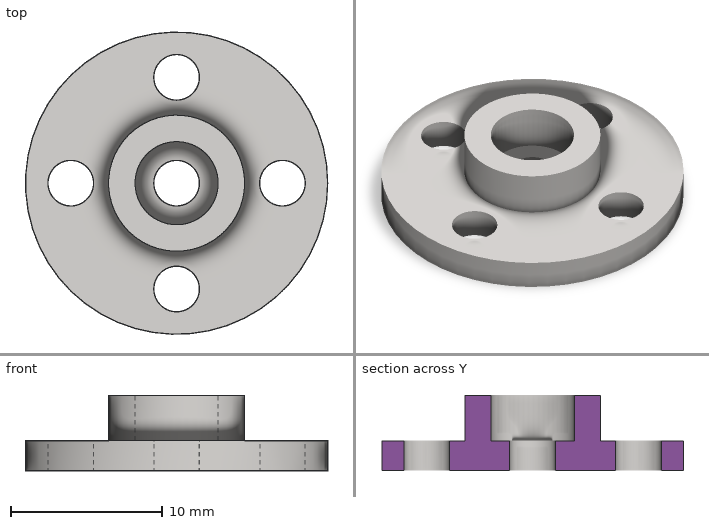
import cadquery as cq

flange_diameter = 20
flange_thickness = 2

hub_diameter = 9
hub_height = 3

pocket_diameter = 5.5
pocket_depth = hub_height
hole_diameter = 3

mounting_hole_count = 4
pitch_circle_diameter = 14

flange = cq.Workplane("XY").circle(flange_diameter / 2).extrude(flange_thickness)

flange_with_hub = (
    flange.faces(">Z").workplane()
    .circle(hub_diameter / 2)
    .extrude(hub_height)
)

bored_body = (
    flange_with_hub.faces(">Z").workplane()
    .cboreHole(hole_diameter, pocket_diameter, pocket_depth)
)

result = (
    bored_body.faces("<Z").workplane()
    .polarArray(pitch_circle_diameter / 2, 0, 360, mounting_hole_count)
    .hole(hole_diameter, flange_thickness)
)